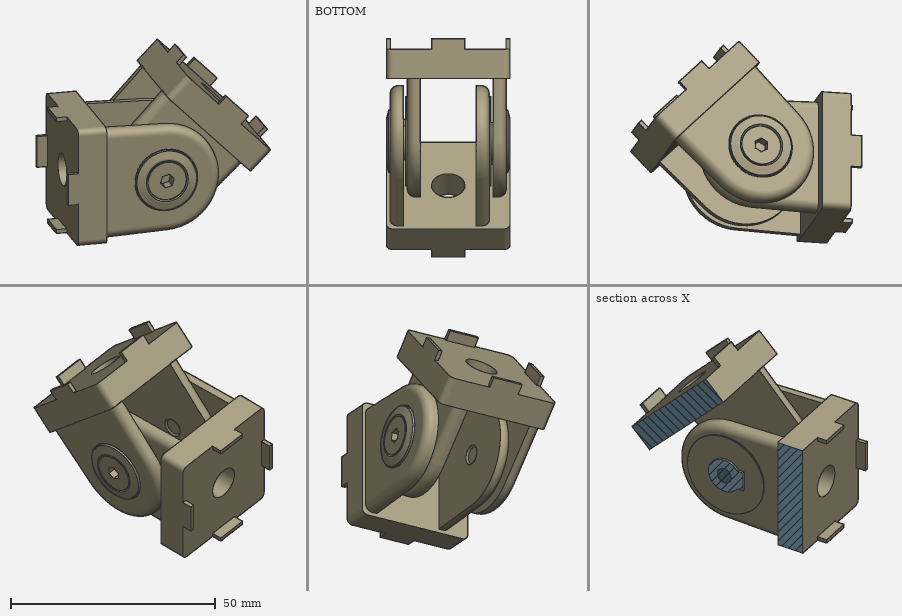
import cadquery as cq
import math

TURN_ANGLE = 180
TILT_ANGLE = 45
OVERALL_LENGTH = 53.45

PLATE_WIDTH = 30.2
PLATE_HEIGHT = 30.0
PLATE_THICKNESS = 7.15
PLATE_CORNER_RADIUS = 1.5
PLATE_HOLE_DIAMETER = 8.1

TAB_LENGTH = 2.6
TAB_THICKNESS = 1.0
END_TAB_WIDTH = 8.1
SIDE_TAB_WIDTH = 7.95

tilt = math.radians(TILT_ANGLE)
TAB_REACH = (OVERALL_LENGTH - PLATE_HEIGHT / 2 * math.sin(tilt)) / (1 + math.cos(tilt))
PLATE_FRONT = TAB_REACH - TAB_LENGTH
PLATE_BACK = PLATE_FRONT - PLATE_THICKNESS

ARM_THICKNESS = 3.25
ARM_RADIUS = 13.5
ARM_ROUND_OFFSET = 0.15
ARM_ROOT_HALF_HEIGHT = 14.0
ARM_EDGE_RADIUS = 2.1
OUTER_ARM_FACE = 14.2
ARM_GAP = 0.9
INNER_ARM_FACE = OUTER_ARM_FACE - ARM_THICKNESS - ARM_GAP
INNER_ARM_BACK = INNER_ARM_FACE - ARM_THICKNESS

BOLT_HEAD_RADIUS = 4.85
BOLT_SHANK_RADIUS = 2.1
HEX_ACROSS_FLATS = 3.05
HEX_DEPTH = 3.2
BOLT_HOLE_CHAMFER = 0.45

RING_RADIUS = 7.6
RING_RIM_HEIGHT = 0.4
RING_TOP_RADIUS = 5.65
RING_BORE_CHAMFER = 0.45
RING_RECESS_RADIUS = 7.9
RING_RECESS_DEPTH = 0.55
RING_SEAT = OUTER_ARM_FACE - RING_RECESS_DEPTH

SPACER_RADIUS = 10.9
SPACER_DISC_THICKNESS = 0.4
SPACER_HUB_RADIUS = 4.6
KEY_WIDTH = 5.35
KEY_REACH = 5.4


def make_plate():
    """Rounded square plate with a central through hole."""
    return (
        cq.Workplane("XZ", origin=(0, -PLATE_BACK, 0))
        .rect(PLATE_WIDTH, PLATE_HEIGHT)
        .extrude(PLATE_THICKNESS)
        .edges("|Y")
        .fillet(PLATE_CORNER_RADIUS)
        .faces("<Y")
        .workplane(origin=(0, 0, 0))
        .hole(PLATE_HOLE_DIAMETER)
    )


def make_tabs():
    """Four tabs on the front of the plate, flush with the middle of each edge."""
    tab_x = (PLATE_WIDTH - TAB_THICKNESS) / 2
    tab_z = (PLATE_HEIGHT - TAB_THICKNESS) / 2
    front = cq.Workplane("XZ", origin=(0, -PLATE_FRONT, 0))
    end_tabs = (
        front.pushPoints([(0, tab_z), (0, -tab_z)])
        .rect(END_TAB_WIDTH, TAB_THICKNESS)
        .extrude(TAB_LENGTH)
    )
    side_tabs = (
        front.pushPoints([(tab_x, 0), (-tab_x, 0)])
        .rect(TAB_THICKNESS, SIDE_TAB_WIDTH)
        .extrude(TAB_LENGTH)
    )
    return end_tabs.union(side_tabs)


def make_arm(back_x):
    """Arm with its outer face toward +X: straight sides tangent to the round end."""
    root_to_centre = PLATE_BACK + ARM_ROUND_OFFSET
    root_distance = math.hypot(root_to_centre, ARM_ROOT_HALF_HEIGHT)
    root_angle = math.atan2(ARM_ROOT_HALF_HEIGHT, root_to_centre)
    tangent_angle = root_angle + math.acos(ARM_RADIUS / root_distance)
    tangent_y = ARM_ROUND_OFFSET - ARM_RADIUS * math.cos(tangent_angle)
    tangent_z = ARM_RADIUS * math.sin(tangent_angle)
    arm = (
        cq.Workplane("YZ", origin=(back_x, 0, 0))
        .moveTo(-PLATE_BACK, ARM_ROOT_HALF_HEIGHT)
        .lineTo(tangent_y, tangent_z)
        .threePointArc((ARM_ROUND_OFFSET + ARM_RADIUS, 0), (tangent_y, -tangent_z))
        .lineTo(-PLATE_BACK, -ARM_ROOT_HALF_HEIGHT)
        .close()
        .extrude(ARM_THICKNESS)
    )
    return arm.faces(">X").edges("not(<Y)").fillet(ARM_EDGE_RADIUS)


def make_bolt_hole():
    """Hinge hole through both arms, with a chamfer where it leaves the back of the inner arm."""
    hole = cq.Workplane("YZ").circle(BOLT_SHANK_RADIUS).extrude(PLATE_WIDTH / 2, both=True)
    chamfer = cq.Solid.makeCone(
        BOLT_SHANK_RADIUS + BOLT_HOLE_CHAMFER,
        BOLT_SHANK_RADIUS,
        BOLT_HOLE_CHAMFER,
        pnt=cq.Vector(-INNER_ARM_BACK, 0, 0),
        dir=cq.Vector(-1, 0, 0),
    )
    return hole.union(cq.Workplane(chamfer))


def make_bracket():
    """Plate with tabs, an outer arm on the +X side and an inner arm on the -X side."""
    outer_arm = make_arm(OUTER_ARM_FACE - ARM_THICKNESS)
    inner_arm = make_arm(INNER_ARM_BACK).mirror("YZ")
    body = make_plate().union(make_tabs()).union(outer_arm).union(inner_arm)
    ring_recess = (
        cq.Workplane("YZ", origin=(RING_SEAT, 0, 0))
        .circle(RING_RECESS_RADIUS)
        .extrude(RING_RECESS_DEPTH)
    )
    return body.cut(make_bolt_hole()).cut(ring_recess)


def make_bolt():
    """Bolt on the -X side, with a hex socket in its flat head, ending where the hole's chamfer begins."""
    head_face = -PLATE_WIDTH / 2
    shank_length = PLATE_WIDTH / 2 - INNER_ARM_BACK - BOLT_HOLE_CHAMFER
    axis = cq.Workplane("YZ", origin=(head_face, 0, 0))
    head = axis.circle(BOLT_HEAD_RADIUS).extrude(PLATE_WIDTH / 2 - RING_SEAT)
    shank = axis.circle(BOLT_SHANK_RADIUS).extrude(shank_length)
    hex_diameter = HEX_ACROSS_FLATS / math.cos(math.pi / 6)
    socket = axis.transformed(rotate=(0, 0, 90)).polygon(6, hex_diameter).extrude(HEX_DEPTH)
    return head.union(shank).cut(socket)


def make_cover_ring():
    """Conical ring on the -X side, chamfered around the bolt head."""
    top = -PLATE_WIDTH / 2
    base = -RING_SEAT
    rim = -OUTER_ARM_FACE - RING_RIM_HEIGHT
    profile = [
        (base, BOLT_HEAD_RADIUS),
        (base, RING_RADIUS),
        (rim, RING_RADIUS),
        (top, RING_TOP_RADIUS),
        (top, BOLT_HEAD_RADIUS + RING_BORE_CHAMFER),
        (top + RING_BORE_CHAMFER, BOLT_HEAD_RADIUS),
    ]
    return cq.Workplane("XY").polyline(profile).close().revolve(360, (0, 0, 0), (1, 0, 0))


def make_spacer():
    """Disc against the inner arm, with a keyed hub that reaches to the outer arm."""
    disc_plane = cq.Workplane("YZ", origin=(-INNER_ARM_FACE, 0, 0))
    disc = disc_plane.circle(SPACER_RADIUS).extrude(-SPACER_DISC_THICKNESS)
    hub = disc_plane.circle(SPACER_HUB_RADIUS).extrude(-ARM_GAP)
    key = disc_plane.center(-KEY_REACH / 2, 0).rect(KEY_REACH, KEY_WIDTH).extrude(-ARM_GAP)
    bore = disc_plane.circle(BOLT_SHANK_RADIUS).extrude(-ARM_GAP)
    return disc.union(hub).union(key).cut(bore)


def second_half(body):
    """Copy of a body of the first half, moved to its place in the second half."""
    turned = body.rotate((0, 0, 0), (0, 0, 1), TURN_ANGLE)
    return turned.rotate((0, 0, 0), (1, 0, 0), TILT_ANGLE)


bodies = []
for make_body in (make_bracket, make_bolt, make_cover_ring, make_spacer):
    body = make_body()
    bodies.append(body.val())
    bodies.append(second_half(body).val())

result = cq.Compound.makeCompound(bodies)